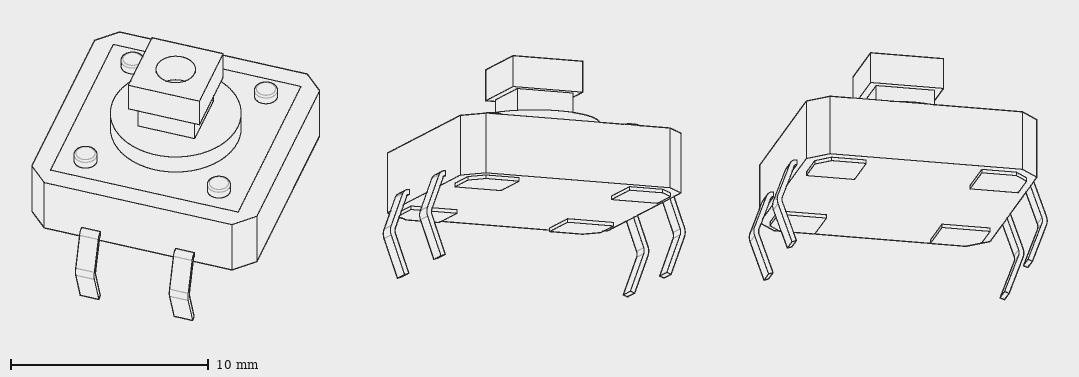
import cadquery as cq
import math

HOUSING_WIDTH = 12.0
HOUSING_HEIGHT = 3.09
HOUSING_CHAMFER = 1.0

PAD_OUTER = 5.51
PAD_WIDTH = 2.5
PAD_HEIGHT = 0.18
PAD_CHAMFER = 0.7

PEG_DIAMETER = 1.17
PEG_HEIGHT = 0.49
PEG_FILLET = 0.1
PEG_X = 3.55
PEG_Y = 3.75

PLATE_WIDTH = 10.0
PLATE_THICKNESS = 0.3
COLLAR_DIAMETER = 6.62
COLLAR_HEIGHT = 1.03
STEM_WIDTH = 3.03
STEM_HEIGHT = 1.38
HEAD_WIDTH = 3.8
HEAD_HEIGHT = 1.6
HEAD_HOLE_DIAMETER = 2.0

OVERALL_DEPTH = 14.05
OVERALL_HEIGHT = 10.89
LEAD_X = 2.5
LEAD_WIDTH = 1.0
LEAD_THICKNESS = 0.25
LEAD_TOP = 0.62
LEAD_ANGLE = math.radians(20)
LEAD_TOP_RADIUS = 0.22
LEAD_KNEE_RADIUS = 0.58
LEAD_KNEE_Z = -1.56

COLLAR_TOP = HOUSING_HEIGHT + COLLAR_HEIGHT
STEM_TOP = COLLAR_TOP + STEM_HEIGHT
HEAD_TOP = STEM_TOP + HEAD_HEIGHT
PLATE_BOTTOM = HOUSING_HEIGHT - PLATE_THICKNESS
LEAD_BOTTOM = HEAD_TOP - OVERALL_HEIGHT


def block(width, height, bottom):
    """Square block centred on the Z axis, standing on the given level."""
    return cq.Workplane("XY").workplane(offset=bottom).rect(width, width).extrude(height)


def make_pads():
    """Four corner pads, cut out of one chamfered block by a cross-shaped channel."""
    channel_width = 2 * (PAD_OUTER - PAD_WIDTH)
    pads = block(2 * PAD_OUTER, PAD_HEIGHT, -PAD_HEIGHT).edges("|Z").chamfer(PAD_CHAMFER)
    channel = cq.Workplane("XY").box(channel_width, 2 * PAD_OUTER, 2 * PAD_HEIGHT)
    cross_channel = channel.rotate((0, 0, 0), (0, 0, 1), 90)
    return pads.cut(channel).cut(cross_channel)


def make_peg_cylinders(height):
    """Four upright cylinders at the peg places, rising from the floor of the recess."""
    return (
        cq.Workplane("XY")
        .workplane(offset=PLATE_BOTTOM)
        .rect(2 * PEG_X, 2 * PEG_Y, forConstruction=True)
        .vertices()
        .circle(PEG_DIAMETER / 2)
        .extrude(height)
    )


def make_housing():
    body = block(HOUSING_WIDTH, HOUSING_HEIGHT, 0).edges("|Z").chamfer(HOUSING_CHAMFER)
    plate_recess = block(PLATE_WIDTH, PLATE_THICKNESS, PLATE_BOTTOM)
    pegs = make_peg_cylinders(PLATE_THICKNESS + PEG_HEIGHT).faces(">Z").edges().fillet(PEG_FILLET)
    return body.cut(plate_recess).union(pegs).union(make_pads())


def make_actuator():
    peg_holes = make_peg_cylinders(PLATE_THICKNESS)
    plate = block(PLATE_WIDTH, PLATE_THICKNESS, PLATE_BOTTOM).cut(peg_holes)
    collar = (
        cq.Workplane("XY")
        .workplane(offset=HOUSING_HEIGHT)
        .circle(COLLAR_DIAMETER / 2)
        .extrude(COLLAR_HEIGHT)
    )
    stem = block(STEM_WIDTH, STEM_HEIGHT, COLLAR_TOP)
    head = block(HEAD_WIDTH, HEAD_HEIGHT, STEM_TOP).faces(">Z").workplane().hole(HEAD_HOLE_DIAMETER)
    return plate.union(collar).union(stem).union(head)


def make_lead():
    """Lead on the +Y wall, centred on X = 0: a strip swept along its bent centre line."""
    wall_y = HOUSING_WIDTH / 2
    start_z = LEAD_TOP - LEAD_THICKNESS / 2
    sin_a = math.sin(LEAD_ANGLE)
    cos_a = math.cos(LEAD_ANGLE)

    knee_y = OVERALL_DEPTH / 2 - LEAD_THICKNESS / 2
    knee_end_y = knee_y - LEAD_KNEE_RADIUS * (1 - cos_a)
    knee_half_height = LEAD_KNEE_RADIUS * sin_a

    top_bend_end_z = start_z - LEAD_TOP_RADIUS * (1 - sin_a)
    upper_leg_drop = top_bend_end_z - (LEAD_KNEE_Z + knee_half_height)
    top_bend_end_y = knee_end_y - upper_leg_drop * math.tan(LEAD_ANGLE)
    top_bend_start_y = top_bend_end_y - LEAD_TOP_RADIUS * cos_a

    lower_leg_end_z = LEAD_BOTTOM + LEAD_THICKNESS / 2 * sin_a
    lower_leg_drop = LEAD_KNEE_Z - knee_half_height - lower_leg_end_z
    lower_leg_end_y = knee_end_y - lower_leg_drop * math.tan(LEAD_ANGLE)

    centre_line = (
        cq.Workplane("YZ")
        .moveTo(wall_y, start_z)
        .lineTo(top_bend_start_y, start_z)
        .tangentArcPoint((top_bend_end_y, top_bend_end_z), relative=False)
        .lineTo(knee_end_y, LEAD_KNEE_Z + knee_half_height)
        .threePointArc((knee_y, LEAD_KNEE_Z), (knee_end_y, LEAD_KNEE_Z - knee_half_height))
        .lineTo(lower_leg_end_y, lower_leg_end_z)
    )
    strip_section = cq.Workplane("XZ", origin=(0, wall_y, start_z)).rect(LEAD_WIDTH, LEAD_THICKNESS)
    return strip_section.sweep(centre_line)


def make_leads():
    """One lead at each of two places along the back wall, mirrored to the front wall."""
    leads = []
    for x in (-LEAD_X, LEAD_X):
        back_lead = make_lead().translate((x, 0, 0))
        leads.append(back_lead.val())
        leads.append(back_lead.mirror("XZ").val())
    return leads


housing = make_housing()
actuator = make_actuator()
leads = make_leads()

result = cq.Compound.makeCompound([housing.val(), actuator.val(), *leads])